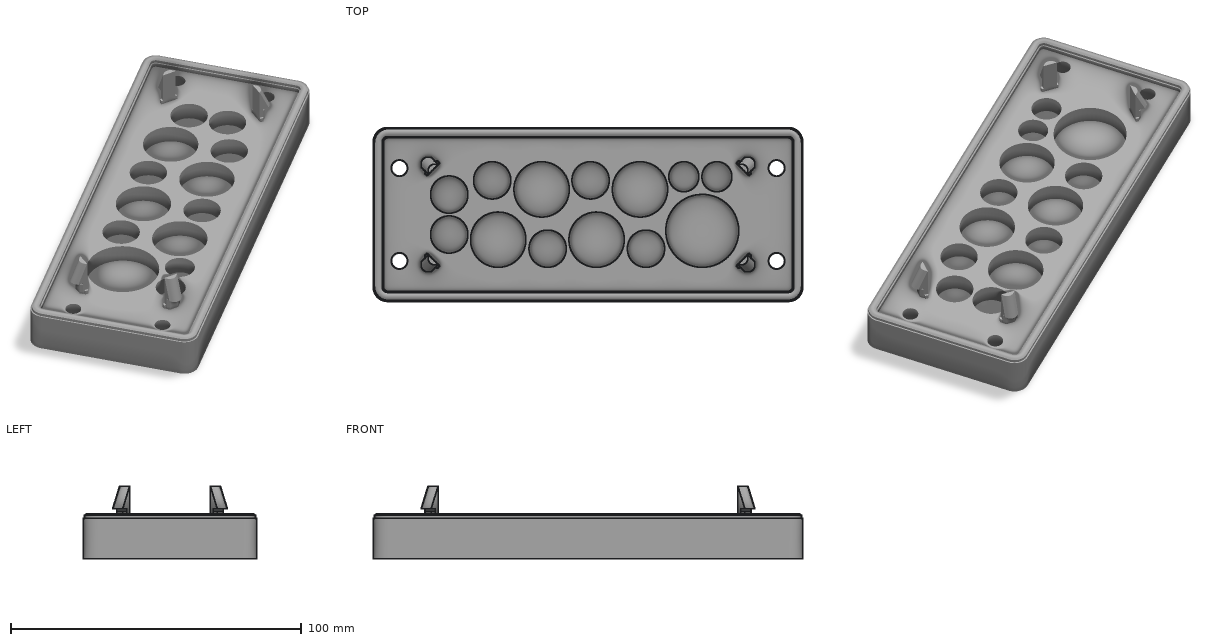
import cadquery as cq
import math

LENGTH = 148.0
WIDTH = 60.0
CORNER_RADIUS = 5.0
RIM_HEIGHT = 13.9
RIM_WIDTH = 3.5
FLOOR_HEIGHT = 12.5

BEAD_WIDTH = 2.7
BEAD_SIDE_HEIGHT = 1.0
BEAD_BEVEL_WIDTH = 0.5
BEAD_BEVEL_HEIGHT = 0.3
BEAD_CROWN = 0.3

SCREW_HOLE_DIAMETER = 5.5
SCREW_SPACING_X = 130.0
SCREW_SPACING_Y = 32.0

POCKET_DEPTH = 6.4
ROW_EDGE = 18.2
TINY_POCKET = 10.4
SMALL_POCKET = 12.9
LARGE_POCKET = 19.1
HUGE_POCKET = 25.2
LEFT_PAIR_X = -47.8
LEFT_PAIR_SPACING = 13.8
UPPER_ROW = [
    (-33.0, SMALL_POCKET),
    (-16.0, LARGE_POCKET),
    (0.9, SMALL_POCKET),
    (17.9, LARGE_POCKET),
    (33.0, TINY_POCKET),
    (44.4, TINY_POCKET),
]
LOWER_ROW = [
    (-31.0, LARGE_POCKET),
    (-13.9, SMALL_POCKET),
    (3.0, LARGE_POCKET),
    (20.0, SMALL_POCKET),
    (39.4, HUGE_POCKET),
]

HOOK_X = 53.3
HOOK_Y = 15.5
HOOK_TOP = 25.0
HOOK_WIDTH = 4.9
BARB_BOTTOM = 17.2
BARB_REACH = 5.0
BARB_BEVEL = 0.7
BARB_CROWN = 0.7
TOP_REACH = 1.6
POST_TOP = 16.5
POST_REACH = 2.5
POST_BEVEL = 0.9
FOOT_WIDTH = 6.2
FOOT_DEPTH = 1.2
FOOT_HEIGHT = 1.5


def rounded_block(inset, bottom, height):
    """Block concentric with the housing outline, shrunk by inset on every side."""
    return (
        cq.Workplane("XY", origin=(0, 0, bottom))
        .rect(LENGTH - 2 * inset, WIDTH - 2 * inset)
        .extrude(height)
        .edges("|Z")
        .fillet(CORNER_RADIUS - inset)
    )


def pocket_places():
    """Centre and diameter of every cable pocket."""
    places = [(LEFT_PAIR_X, side * LEFT_PAIR_SPACING / 2, SMALL_POCKET) for side in (-1, 1)]
    places += [(x, ROW_EDGE - diameter / 2, diameter) for x, diameter in UPPER_ROW]
    places += [(x, diameter / 2 - ROW_EDGE, diameter) for x, diameter in LOWER_ROW]
    return places


def upright_block(depth, width, top):
    """Block that stands on the floor and reaches from the back plane of a hook outwards."""
    height = top - FLOOR_HEIGHT
    base = cq.Workplane("XY", origin=(0, 0, FLOOR_HEIGHT))
    return base.box(depth, width, height, centered=(False, True, False))


def barb_section(plane, reach):
    """Flat-backed outline with a bevelled, round front that reaches the given distance from the back."""
    half_width = HOOK_WIDTH / 2
    crown_edge = reach - BARB_CROWN
    shoulder = crown_edge - BARB_BEVEL
    crown_half_width = half_width - BARB_BEVEL
    return (
        plane.moveTo(0, -half_width)
        .lineTo(shoulder, -half_width)
        .lineTo(crown_edge, -crown_half_width)
        .threePointArc((reach, 0), (crown_edge, crown_half_width))
        .lineTo(shoulder, half_width)
        .lineTo(0, half_width)
        .close()
    )


def make_hook():
    """Snap hook with its flat back in the YZ plane and its barb towards +X."""
    foot = upright_block(FOOT_DEPTH, FOOT_WIDTH, FLOOR_HEIGHT + FOOT_HEIGHT)
    post = upright_block(POST_REACH, HOOK_WIDTH, POST_TOP).edges("|Z and >X").chamfer(POST_BEVEL)
    neck = upright_block(TOP_REACH, HOOK_WIDTH, BARB_BOTTOM)
    barb = barb_section(cq.Workplane("XY", origin=(0, 0, BARB_BOTTOM)), BARB_REACH)
    barb = barb_section(barb.workplane(offset=HOOK_TOP - BARB_BOTTOM), TOP_REACH).loft(ruled=True)
    return foot.union(post).union(neck).union(barb)


def make_housing():
    """Block with a recessed floor, cable pockets, screw holes and one snap hook near each corner."""
    housing = rounded_block(0, 0, RIM_HEIGHT)
    housing = housing.cut(rounded_block(RIM_WIDTH, FLOOR_HEIGHT, RIM_HEIGHT - FLOOR_HEIGHT))
    for x, y, diameter in pocket_places():
        housing = housing.cut(
            cq.Workplane("XY", origin=(x, y, FLOOR_HEIGHT)).circle(diameter / 2).extrude(-POCKET_DEPTH)
        )
    housing = housing.cut(
        cq.Workplane("XY")
        .rect(SCREW_SPACING_X, SCREW_SPACING_Y, forConstruction=True)
        .vertices()
        .circle(SCREW_HOLE_DIAMETER / 2)
        .extrude(FLOOR_HEIGHT)
    )
    for side_x in (-1, 1):
        for side_y in (-1, 1):
            outward = math.degrees(math.atan2(side_y, side_x))
            hook = make_hook().rotate((0, 0, 0), (0, 0, 1), outward)
            housing = housing.union(hook.translate((side_x * HOOK_X, side_y * HOOK_Y, 0)))
    return housing


def make_gasket():
    """Bead with upright sides, bevels and an arched crown, swept round the middle of the rim."""
    path = rounded_block(RIM_WIDTH / 2, RIM_HEIGHT, BEAD_SIDE_HEIGHT).faces("<Z").wires()
    half_bead = BEAD_WIDTH / 2
    half_crown = half_bead - BEAD_BEVEL_WIDTH
    crown_base = BEAD_SIDE_HEIGHT + BEAD_BEVEL_HEIGHT
    section = (
        cq.Workplane("YZ", origin=(0, (RIM_WIDTH - WIDTH) / 2, RIM_HEIGHT))
        .moveTo(-half_bead, 0)
        .lineTo(half_bead, 0)
        .lineTo(half_bead, BEAD_SIDE_HEIGHT)
        .lineTo(half_crown, crown_base)
        .threePointArc((0, crown_base + BEAD_CROWN), (-half_crown, crown_base))
        .lineTo(-half_bead, BEAD_SIDE_HEIGHT)
        .close()
    )
    return section.sweep(path)


housing = make_housing()
gasket = make_gasket()

result = cq.Compound.makeCompound([housing.val(), gasket.val()])